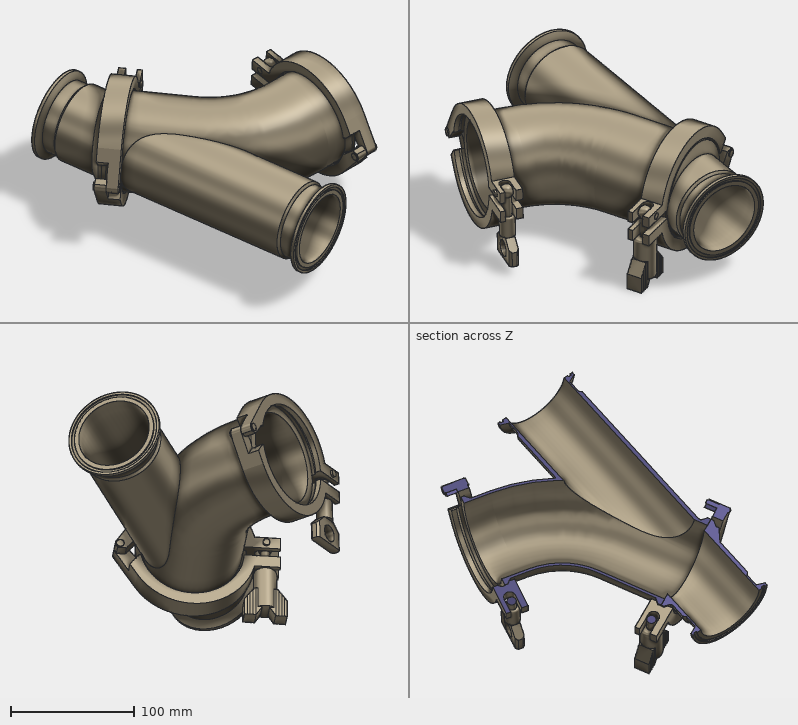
import cadquery as cq
import math

RUN_LENGTH = 255.2
RUN_BORE_R = 60.2 / 2
RUN_NECK_R = 63.5 / 2
RUN_PIPE_R = 67.5 / 2
RUN_FLANGE_R = 77.3 / 2
RUN_RIM = 2.8
RUN_FLANGE_DEPTH = 5.9
RUN_NECK_LENGTH = 17.4
RUN_GROOVE_INNER_R = 34.0
RUN_GROOVE_OUTER_R = 73.0 / 2
RUN_GROOVE_DEPTH = 1.3

BRANCH_X = 58.0
BRANCH_ANGLE = 25.0
BEND_ANGLE = 50.0
BEND_RADIUS = 105.6
BRANCH_STRAIGHT = 59.7
COLLAR_LENGTH = 24.2
BRANCH_R = 82.7 / 2
BRANCH_BORE_R = 77.3 / 2
CONE_ANGLE = 60.0
CONE_START = 9.7
CONE_SMALL_R = 20.5

FLANGE_R = 90.8 / 2
FLANGE_RIM = 2.8
FLANGE_BACK = FLANGE_RIM + FLANGE_R - BRANCH_R

CLAMP_A_R = 53.0
CLAMP_B_R = 51.8
CLAMP_BORE_R = 85.7 / 2
CLAMP_WIDTH = 19.6
HALF_WIDTH = CLAMP_WIDTH / 2
LUG_A_END = 72.5
LUG_B_END = 70.2
LUG_INNER = 44.7
LUG_BOTTOM = 3.8
LUG_TOP = 13.8
SLOT_WIDTH = 9.5
SLOT_INNER_END = 52.0
HINGE_A_X = -58.7
HINGE_B_X = -57.0
KNUCKLE_R = 8.0 / 2
ARM_ROOT = (-43.5, 8.0)
ARM_TIP = (-53.5, -KNUCKLE_R)
NOTCH_ROOT = (-43.5, 9.7)
NOTCH_TIP = (-58.7, 29.3)
HINGE_PIN_R = 6.5 / 2
PIN_OVERHANG = 1.0
CLAMP_B_ROLL = 3.3

BOLT_X = 60.7
BOLT_R = 8.0 / 2
BOLT_OFFSET = 0.8
BALL_R = 5.9
BALL_WIDTH = 9.0
PIVOT_PIN_R = 5.5 / 2
PIVOT_Y = (LUG_BOTTOM + LUG_TOP) / 2
BOLT_A_END = -40.8
BOLT_B_END = -30.5

WING_COLLAR_R = 19.1 / 2
WING_COLLAR_FILLET = 3.0
WING_COLLAR_END = -51.0
WING_SPAN = 35.0
WING_THICKNESS = 13.8
WING_BOTTOM = -58.5
WING_SHOULDER = -44.0
WING_TOP = -33.2
WING_NOTCH = 8.0
WING_NOTCH_TIP = 3.0
FLUTE_COUNT = 4
FLUTE_PITCH = 2.3
FLUTE_R = 1.8
FLUTE_DEPTH = 0.5

EYE_COLLAR_R = 13.3 / 2
EYE_COLLAR_FILLET = 1.5
EYE_SPAN = 32.5
EYE_THICKNESS = 8.2
EYE_CHAMFER = 2.0
EYE_BOTTOM = -54.0
EYE_SHOULDER = -40.8
EYE_TOP = -32.0
EYE_HOLE_R = 14.3 / 2
EYE_HOLE_Y = -44.7


def heading(angle):
    """Horizontal unit vector at an angle from +X."""
    return cq.Vector(math.cos(math.radians(angle)), math.sin(math.radians(angle)), 0)


def joint_plane(origin, angle, roll=0.0):
    """Frame whose local z runs along the pipe, x points to its left and y points up."""
    left = heading(angle + 90) * math.cos(math.radians(roll))
    up = cq.Vector(0, 0, math.sin(math.radians(roll)))
    return cq.Plane(origin=origin.toTuple(), xDir=(left + up).toTuple(), normal=heading(angle).toTuple())


def place(body, plane):
    return body.solids().val().moved(cq.Location(plane))


CLAMP_A_PLANE = joint_plane(cq.Vector(BRANCH_X, 0, 0), BRANCH_ANGLE)
BEND_START = CLAMP_A_PLANE.toWorldCoords((0, 0, BRANCH_STRAIGHT))
BEND_PLANE = joint_plane(BEND_START, BRANCH_ANGLE)
BEND_END = BEND_PLANE.toWorldCoords((
    BEND_RADIUS * (1 - math.cos(math.radians(BEND_ANGLE))),
    0,
    BEND_RADIUS * math.sin(math.radians(BEND_ANGLE)),
))
COLLAR_PLANE = joint_plane(BEND_END, BRANCH_ANGLE + BEND_ANGLE)
CLAMP_B_CENTER = COLLAR_PLANE.toWorldCoords((0, 0, COLLAR_LENGTH))
CLAMP_B_PLANE = joint_plane(CLAMP_B_CENTER, BRANCH_ANGLE + BEND_ANGLE, CLAMP_B_ROLL)


def rod(plane, radius, length):
    return cq.Workplane(plane).circle(radius).extrude(length)


def bend(radius):
    return (
        cq.Workplane(BEND_PLANE)
        .circle(radius)
        .revolve(BEND_ANGLE, (BEND_RADIUS, 0), (BEND_RADIUS, 1))
    )


def spun(points):
    """Solid of revolution about local z from (radius, z) points."""
    return cq.Workplane("XZ").polyline(points).close().revolve(360, (0, 0), (0, 1))


def run_outside():
    """Outside of the straight run: a sealing flange, neck and step at each end."""
    step = RUN_PIPE_R - RUN_NECK_R
    near_end = [
        (0, RUN_FLANGE_R),
        (RUN_RIM, RUN_FLANGE_R),
        (RUN_FLANGE_DEPTH, RUN_NECK_R),
        (RUN_NECK_LENGTH, RUN_NECK_R),
        (RUN_NECK_LENGTH + step, RUN_PIPE_R),
    ]
    far_end = [(RUN_LENGTH - x, r) for x, r in reversed(near_end)]
    outline = [(0, 0)] + near_end + far_end + [(RUN_LENGTH, 0)]
    run = cq.Workplane("XY").polyline(outline).close().revolve(360, (0, 0), (1, 0))
    groove = (
        cq.Workplane("YZ")
        .circle(RUN_GROOVE_OUTER_R)
        .circle(RUN_GROOVE_INNER_R)
        .extrude(RUN_GROOVE_DEPTH)
    )
    far_groove = groove.translate((RUN_LENGTH - RUN_GROOVE_DEPTH, 0, 0))
    return run.cut(groove).cut(far_groove)


def run_bore():
    return cq.Workplane("YZ").circle(RUN_BORE_R).extrude(RUN_LENGTH)


def flange_outline(side):
    """Rim and tapered back of a clamped flange, as (radius, z); side is +1 or -1."""
    return [
        (0, 0),
        (FLANGE_R, 0),
        (FLANGE_R, side * FLANGE_RIM),
        (BRANCH_R, side * FLANGE_BACK),
    ]


def beyond_clamp_a(side):
    """Half space on one side of the joint at clamp A."""
    size = 3 * RUN_LENGTH
    return cq.Workplane(CLAMP_A_PLANE).rect(size, size).extrude(side * size)


def make_inlet():
    """Run end with the cone and flange that meet the body in clamp A."""
    slope = math.tan(math.radians(CONE_ANGLE))
    cone_end = -CONE_START - (BRANCH_R - CONE_SMALL_R) / slope
    cone = spun(flange_outline(-1) + [(BRANCH_R, -CONE_START), (CONE_SMALL_R, cone_end), (0, cone_end)])
    inlet = run_outside().intersect(beyond_clamp_a(-1)).union(place(cone, CLAMP_A_PLANE))
    return inlet.cut(run_bore())


def make_body():
    """Rest of the run with the branch, its bend and a flange at both clamps."""
    flange_a = spun(flange_outline(1) + [(0, FLANGE_BACK)])
    flange_b = spun(flange_outline(-1) + [(0, -FLANGE_BACK)])
    body = (
        run_outside()
        .intersect(beyond_clamp_a(1))
        .union(rod(CLAMP_A_PLANE, BRANCH_R, BRANCH_STRAIGHT))
        .union(bend(BRANCH_R))
        .union(rod(COLLAR_PLANE, BRANCH_R, COLLAR_LENGTH))
        .union(place(flange_a, CLAMP_A_PLANE))
        .union(place(flange_b, CLAMP_B_PLANE))
    )
    return (
        body.cut(run_bore())
        .cut(rod(CLAMP_A_PLANE, BRANCH_BORE_R, BRANCH_STRAIGHT))
        .cut(bend(BRANCH_BORE_R))
        .cut(rod(COLLAR_PLANE, BRANCH_BORE_R, COLLAR_LENGTH))
    )


def clamp_slab(keep, radius, hinge_x):
    """Half the width of the clamp ring and hinge arms, limited to the outline `keep`."""
    tangent = math.acos((radius - KNUCKLE_R) / -hinge_x)
    cos_t = math.cos(tangent)
    sin_t = math.sin(tangent)
    arms = [
        (0, 0),
        (-radius * cos_t, radius * sin_t),
        (hinge_x - KNUCKLE_R * cos_t, KNUCKLE_R * sin_t),
        (hinge_x - KNUCKLE_R * cos_t, -KNUCKLE_R * sin_t),
        (-radius * cos_t, -radius * sin_t),
    ]
    hinge = cq.Workplane("XY").polyline(arms).close().extrude(HALF_WIDTH)
    disc = cq.Workplane("XY").circle(radius).extrude(HALF_WIDTH)
    limit = cq.Workplane("XY").polyline(keep).close().extrude(HALF_WIDTH)
    return disc.union(hinge).intersect(limit)


def flange_recess():
    """Bore of the clamp with the groove that wraps both flanges."""
    lip = FLANGE_RIM + FLANGE_R - CLAMP_BORE_R
    return spun([
        (0, -HALF_WIDTH),
        (CLAMP_BORE_R, -HALF_WIDTH),
        (CLAMP_BORE_R, -lip),
        (FLANGE_R, -FLANGE_RIM),
        (FLANGE_R, FLANGE_RIM),
        (CLAMP_BORE_R, lip),
        (CLAMP_BORE_R, HALF_WIDTH),
        (0, HALF_WIDTH),
    ])


def hinge_rod(hinge_x, radius, start, end):
    return cq.Workplane("XY", origin=(hinge_x, 0, start)).circle(radius).extrude(end - start)


def pivot_pin():
    length = CLAMP_WIDTH + 2 * PIN_OVERHANG
    start = BOLT_OFFSET - length / 2
    return cq.Workplane("XY", origin=(BOLT_X, PIVOT_Y, start)).circle(PIVOT_PIN_R).extrude(length)


def bolt_slot(side):
    """Round-ended slot for the bolt, open outward, above (side 1) or below (side -1) the joint."""
    center = SLOT_INNER_END + SLOT_WIDTH / 2
    depth = -side * (LUG_TOP + SLOT_WIDTH)
    round_end = cq.Workplane("XZ", origin=(center, 0, BOLT_OFFSET)).circle(SLOT_WIDTH / 2).extrude(depth)
    open_end = (
        cq.Workplane("XZ", origin=(center + LUG_A_END / 2, 0, BOLT_OFFSET))
        .rect(LUG_A_END, SLOT_WIDTH)
        .extrude(depth)
    )
    return round_end.union(open_end)


def bare_half(radius, hinge_x, lug_end):
    """Upper half without pins: its knuckle is on the +z side, the notch for the other on -z."""
    reach = LUG_A_END
    common = [(-reach, reach), (reach, reach), (reach, LUG_BOTTOM), (0, LUG_BOTTOM)]
    with_arm = common + [ARM_ROOT, ARM_TIP, (-reach, -KNUCKLE_R)]
    without_arm = common + [NOTCH_ROOT, NOTCH_TIP]
    arm_side = clamp_slab(with_arm, radius, hinge_x)
    notch_side = clamp_slab(without_arm, radius, hinge_x).translate((0, 0, -HALF_WIDTH))
    half = arm_side.union(notch_side)
    lug = (
        cq.Workplane("XY", origin=(0, 0, -HALF_WIDTH))
        .polyline([
            (LUG_INNER, LUG_BOTTOM),
            (lug_end, LUG_BOTTOM),
            (lug_end, LUG_TOP),
            (LUG_INNER, LUG_TOP),
        ])
        .close()
        .extrude(CLAMP_WIDTH)
    )
    half = half.union(lug).cut(flange_recess())
    return half.union(hinge_rod(hinge_x, KNUCKLE_R, 0, HALF_WIDTH))


def make_upper_half(radius, hinge_x, lug_end):
    """Half with the pivot pin hole; its knuckle turns on the hinge pin."""
    half = bare_half(radius, hinge_x, lug_end).cut(bolt_slot(1))
    return half.cut(pivot_pin()).cut(hinge_rod(hinge_x, HINGE_PIN_R, 0, HALF_WIDTH))


def make_lower_half(radius, hinge_x, lug_end):
    """The same half turned over, carrying the hinge pin."""
    turned = bare_half(radius, hinge_x, lug_end).rotate((0, 0, 0), (1, 0, 0), 180)
    end = HALF_WIDTH + PIN_OVERHANG
    return turned.cut(bolt_slot(-1)).union(hinge_rod(hinge_x, HINGE_PIN_R, -end, end))


def bolt_shank(end):
    """Shank running down from the pivot pin to `end`."""
    return cq.Workplane("XZ", origin=(BOLT_X, PIVOT_Y, BOLT_OFFSET)).circle(BOLT_R).extrude(PIVOT_Y - end)


def make_bolt(end):
    """Swing bolt: ball with flat sides, shank and pivot pin."""
    ball = cq.Workplane("XY").sphere(BALL_R)
    flats = cq.Workplane("XY").box(3 * BALL_R, 3 * BALL_R, BALL_WIDTH)
    head = ball.intersect(flats).translate((BOLT_X, PIVOT_Y, BOLT_OFFSET))
    return head.union(bolt_shank(end)).union(pivot_pin())


def collar(radius, end, fillet):
    """Round upper part of a nut, seated under the lower lug."""
    seat = cq.Workplane("XZ", origin=(BOLT_X, -LUG_TOP, BOLT_OFFSET))
    blank = seat.circle(radius).extrude(-LUG_TOP - end)
    return blank.faces(">Y").edges().fillet(fillet)


def nut_plate(outline, thickness):
    """Flat part of a nut: an outline of (offset from the bolt axis, y) points."""
    back = cq.Workplane("XY", origin=(BOLT_X, 0, BOLT_OFFSET - thickness / 2))
    return back.polyline(outline).close().extrude(thickness)


def make_wing_nut():
    """Nut with two fluted wings, notched below the collar."""
    half_span = WING_SPAN / 2
    right = [
        (WING_NOTCH_TIP, WING_TOP),
        (WING_COLLAR_R, WING_TOP),
        (half_span, WING_SHOULDER),
        (half_span, WING_BOTTOM),
        (WING_NOTCH, WING_BOTTOM),
        (WING_NOTCH_TIP, WING_COLLAR_END),
    ]
    left = [(-x, y) for x, y in reversed(right)]
    wings = nut_plate(right + left, WING_THICKNESS)
    for side in (-1, 1):
        for face in (-1, 1):
            for number in range(FLUTE_COUNT):
                x = BOLT_X + side * (half_span - (number + 0.5) * FLUTE_PITCH)
                z = BOLT_OFFSET + face * (WING_THICKNESS / 2 + FLUTE_R - FLUTE_DEPTH)
                flute = cq.Workplane("XZ", origin=(x, 0, z)).circle(FLUTE_R).extrude(-WING_BOTTOM)
                wings = wings.cut(flute)
    nut = wings.union(collar(WING_COLLAR_R, WING_COLLAR_END, WING_COLLAR_FILLET))
    return nut.cut(bolt_shank(BOLT_A_END))


def make_eye_nut():
    """Nut with a flat plate and a cross hole for a tommy bar."""
    half_span = EYE_SPAN / 2
    plate = nut_plate([
        (-half_span, EYE_BOTTOM),
        (half_span, EYE_BOTTOM),
        (half_span, EYE_SHOULDER),
        (EYE_COLLAR_R, EYE_TOP),
        (-EYE_COLLAR_R, EYE_TOP),
        (-half_span, EYE_SHOULDER),
    ], EYE_THICKNESS)
    plate = plate.faces("<X or >X").edges("|Y").chamfer(EYE_CHAMFER)
    hole = (
        cq.Workplane("XY", origin=(BOLT_X, EYE_HOLE_Y, -EYE_THICKNESS))
        .circle(EYE_HOLE_R)
        .extrude(2 * EYE_THICKNESS)
    )
    nut = plate.cut(hole).union(collar(EYE_COLLAR_R, EYE_TOP, EYE_COLLAR_FILLET))
    return nut.cut(bolt_shank(BOLT_B_END))


bodies = [make_inlet().solids().val(), make_body().solids().val()]
clamps = [
    (CLAMP_A_PLANE, CLAMP_A_R, HINGE_A_X, LUG_A_END, make_bolt(BOLT_A_END), make_wing_nut()),
    (CLAMP_B_PLANE, CLAMP_B_R, HINGE_B_X, LUG_B_END, make_bolt(BOLT_B_END), make_eye_nut()),
]
for plane, clamp_radius, hinge_x, lug_end, bolt, nut in clamps:
    upper_half = make_upper_half(clamp_radius, hinge_x, lug_end)
    lower_half = make_lower_half(clamp_radius, hinge_x, lug_end)
    for part in (upper_half, lower_half, bolt, nut):
        bodies.append(place(part, plane))

result = cq.Compound.makeCompound(bodies)